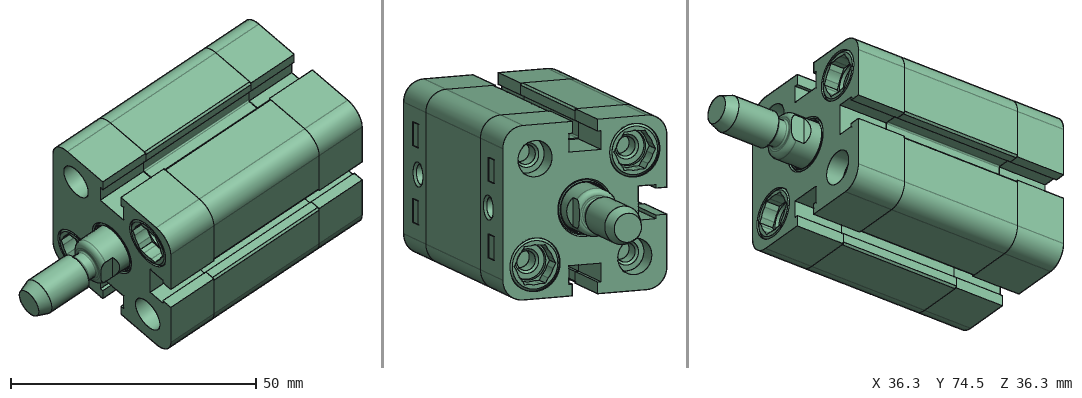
import cadquery as cq
import math


SIDE = 36.3
CORNER_RADIUS = 4.5
CAP_LENGTH = 11.7
TUBE_LENGTH = 28.65
TUBE_START = CAP_LENGTH
TUBE_END = TUBE_START + TUBE_LENGTH
HOUSING_LENGTH = TUBE_END + CAP_LENGTH

SLOT_MOUTH = 5.6
SLOT_WIDTH = 7.1
SLOT_LIP = 2.45
CAP_SLOT_DEPTH = 6.35
TUBE_SLOT_DEPTH = 6.1
TUBE_SLOT_FLOOR_FILLET = 0.3
TUBE_MOUTH_CHAMFER = 0.45
SLOT_ANGLES = (0, 90, -90)

ROD_DIAMETER = 10.0
THREAD_DIAMETER = 8.0
NECK_DIAMETER = 5.8
TIP_DIAMETER = 6.05
ROD_OVERHANG = 22.5
SHOULDER_Y = -6.6
SHOULDER_FILLET = 1.3
NECK_FILLET = 0.4
THREAD_START_Y = -9.7
NECK_CONE_ANGLE = 60
THREAD_END_Y = -19.85
FLATS_WIDTH = THREAD_DIAMETER
FLATS_START_Y = -3.3

CHAMBER_DIAMETER = 10.45
LIP_DIAMETER = 10.9
LIP_SETBACK = 0.1
GROOVE_BOTTOM_DIAMETER = 11.4
GROOVE_MOUTH_DIAMETER = 12.0
REAR_CHAMBER_DEPTH = 5.8

THREAD_HOLE_DIAMETER = 4.1
THREAD_MOUTH_DIAMETER = 5.15
THREAD_HOLE_DEPTH = 3.7

PORT_OFFSET = 7.6
PORT_OPENING = 2.9
LABEL_OFFSET = 6.2
LABEL_LENGTH = 3.0
LABEL_HEIGHT = 4.9
LABEL_CENTRE_Z = 8.0
LABEL_DEPTH = 0.2

BOLT_OFFSET = 11.05
BOLT_HOLE_DIAMETER = 7.5
HEAD_DIAMETER = 11.1
HEAD_CHAMFER = 0.5
SOCKET_SIDES = 6
SOCKET_FLATS = 8.0
SOCKET_BORE = 8.3
SOCKET_DEPTH = 3.3
HEAD_CORNERS = ((BOLT_OFFSET, BOLT_OFFSET), (-BOLT_OFFSET, -BOLT_OFFSET))
BOLT_HOLE_DEPTH = 4.2
MOUNT_CORNERS = ((-BOLT_OFFSET, BOLT_OFFSET), (BOLT_OFFSET, -BOLT_OFFSET))


def front_plane(x, y, z):
    """Sketch plane facing -Y, with its local axes along X and Z."""
    return cq.Workplane(cq.Plane(origin=(x, y, z), xDir=(1, 0, 0), normal=(0, -1, 0)))


def bore(x, z, diameter, start, end):
    """Cylinder along Y between two Y positions."""
    return front_plane(x, start, z).circle(diameter / 2).extrude(start - end)


def revolved(points):
    """Solid turned about the Y axis from (radius, y) points."""
    return cq.Workplane("XY").polyline(points).close().revolve(360, (0, 0, 0), (0, 1, 0))


def thread_hole(origin, direction, depth):
    """Blind hole with a 45 degree mouth, going from its origin along the direction."""
    radius = THREAD_HOLE_DIAMETER / 2
    mouth = THREAD_MOUTH_DIAMETER / 2
    start = cq.Vector(*origin)
    axis = cq.Vector(*direction)
    hole = cq.Solid.makeCylinder(radius, depth, start, axis)
    cone = cq.Solid.makeCone(mouth, radius, mouth - radius, start, axis)
    return cq.Workplane(hole).union(cq.Workplane(cone))


def slotted_block(start, length, slot):
    """Rounded square block along Y with the sensor slot on three sides."""
    block = front_plane(0, start, 0).rect(SIDE, SIDE).extrude(-length)
    block = block.edges("|Y").fillet(CORNER_RADIUS)
    for angle in SLOT_ANGLES:
        block = block.cut(slot.rotate((0, 0, 0), (0, 1, 0), angle))
    return block


def slot_cutter(start, length, depth):
    """Mouth and wider channel of a T-shaped slot in the +X side, as two blocks."""
    outer = SIDE / 2
    mouth = (
        front_plane(outer - depth / 2, start, 0)
        .rect(depth, SLOT_MOUTH)
        .extrude(-length)
    )
    channel_depth = depth - SLOT_LIP
    channel = (
        front_plane(outer - SLOT_LIP - channel_depth / 2, start, 0)
        .rect(channel_depth, SLOT_WIDTH)
        .extrude(-length)
    )
    return mouth, channel


def cap_slot(start):
    """Plain T-shaped slot of a cap."""
    mouth, channel = slot_cutter(start, CAP_LENGTH, CAP_SLOT_DEPTH)
    return mouth.union(channel)


def tube_slot():
    """Slot of the tube, with rounded floor corners and a chamfered mouth."""
    mouth, channel = slot_cutter(TUBE_START, TUBE_LENGTH, TUBE_SLOT_DEPTH)
    channel = channel.edges("|Y and <X").fillet(TUBE_SLOT_FLOOR_FILLET)
    outer = SIDE / 2
    half_mouth = SLOT_MOUTH / 2
    flare = (
        front_plane(0, TUBE_START, 0)
        .polyline([
            (outer, half_mouth + TUBE_MOUTH_CHAMFER),
            (outer - TUBE_MOUTH_CHAMFER, half_mouth),
            (outer - TUBE_MOUTH_CHAMFER, -half_mouth),
            (outer, -half_mouth - TUBE_MOUTH_CHAMFER),
        ])
        .close()
        .extrude(-TUBE_LENGTH)
    )
    return mouth.union(channel).union(flare)


def side_features(port_y, label_y):
    """Port and the two label recesses to be cut from the -X side of a cap."""
    port_floor = math.sqrt((CHAMBER_DIAMETER / 2) ** 2 - (PORT_OPENING / 2) ** 2)
    cutter = thread_hole((-SIDE / 2, port_y, 0), (1, 0, 0), SIDE / 2 - port_floor)
    for z in (LABEL_CENTRE_Z, -LABEL_CENTRE_Z):
        recess = cq.Workplane("XY").box(2 * LABEL_DEPTH, LABEL_LENGTH, LABEL_HEIGHT)
        cutter = cutter.union(recess.translate((-SIDE / 2, label_y, z)))
    return cutter


def head_groove():
    """V-shaped ring around a bolt head, between its chamfer and the cap."""
    outer = HEAD_DIAMETER / 2
    return revolved([(outer - HEAD_CHAMFER, 0), (outer, 0), (outer, HEAD_CHAMFER)])


def head_socket():
    """Hexagon socket with a round bore that just breaks through its flats."""
    across_corners = SOCKET_FLATS / math.cos(math.pi / SOCKET_SIDES)
    hexagon = front_plane(0, 0, 0).polygon(SOCKET_SIDES, across_corners).extrude(-SOCKET_DEPTH)
    return hexagon.union(bore(0, 0, SOCKET_BORE, 0, SOCKET_DEPTH))


def make_front_cap():
    """Cap with the rod passage, two bolt heads and two mounting holes."""
    cap = slotted_block(0, CAP_LENGTH, cap_slot(0))
    cap = cap.cut(side_features(PORT_OFFSET, LABEL_OFFSET))

    groove_depth = (GROOVE_MOUTH_DIAMETER - GROOVE_BOTTOM_DIAMETER) / 2
    mouth_chamfer = (LIP_DIAMETER - CHAMBER_DIAMETER) / 2
    cap = cap.cut(revolved([
        (0, 0),
        (GROOVE_MOUTH_DIAMETER / 2, 0),
        (GROOVE_BOTTOM_DIAMETER / 2, groove_depth),
        (LIP_DIAMETER / 2, LIP_SETBACK),
        (CHAMBER_DIAMETER / 2, LIP_SETBACK + mouth_chamfer),
        (CHAMBER_DIAMETER / 2, CAP_LENGTH),
        (0, CAP_LENGTH),
    ]))

    for x, z in HEAD_CORNERS:
        cap = cap.cut(head_groove().translate((x, 0, z)))
        cap = cap.cut(head_socket().translate((x, 0, z)))
        cap = cap.cut(bore(x, z, BOLT_HOLE_DIAMETER, 0, BOLT_HOLE_DEPTH))
        cap = cap.cut(thread_hole((x, BOLT_HOLE_DEPTH, z), (0, 1, 0), THREAD_HOLE_DEPTH))
    for x, z in MOUNT_CORNERS:
        cap = cap.cut(bore(x, z, BOLT_HOLE_DIAMETER, 0, BOLT_HOLE_DEPTH))
        cap = cap.cut(thread_hole((x, BOLT_HOLE_DEPTH, z), (0, 1, 0), THREAD_HOLE_DEPTH))
    return cap


def make_tube():
    """Middle profile that guides the rod."""
    tube = slotted_block(TUBE_START, TUBE_LENGTH, tube_slot())
    return tube.cut(bore(0, 0, ROD_DIAMETER, TUBE_START, TUBE_END))


def make_rear_cap():
    """Cap with a blind chamber for the inner end of the rod."""
    cap = slotted_block(TUBE_END, CAP_LENGTH, cap_slot(TUBE_END))
    cap = cap.cut(bore(0, 0, CHAMBER_DIAMETER, TUBE_END, TUBE_END + REAR_CHAMBER_DEPTH))
    return cap.cut(side_features(HOUSING_LENGTH - PORT_OFFSET, HOUSING_LENGTH - LABEL_OFFSET))


def rod_flat():
    """Wrench flat on the +X side, running out at 45 degrees towards the housing."""
    inner = FLATS_WIDTH / 2
    outer = ROD_DIAMETER / 2
    runout = outer - inner
    return (
        cq.Workplane("XY", origin=(0, 0, -outer))
        .polyline([
            (inner, SHOULDER_Y),
            (outer, SHOULDER_Y),
            (outer, FLATS_START_Y + runout),
            (inner, FLATS_START_Y),
        ])
        .close()
        .extrude(2 * outer)
    )


def make_rod():
    """Stepped rod with rounded shoulder, neck, threaded end and two wrench flats."""
    rod_radius = ROD_DIAMETER / 2
    neck_radius = NECK_DIAMETER / 2
    thread_radius = THREAD_DIAMETER / 2
    rod_end = TUBE_END + REAR_CHAMBER_DEPTH
    cone_angle = math.radians(NECK_CONE_ANGLE)
    blend_length = NECK_FILLET * math.tan(cone_angle / 2)
    cone_start_y = THREAD_START_Y + (thread_radius - neck_radius) / math.tan(cone_angle)
    rod = (
        cq.Workplane("XY")
        .moveTo(0, rod_end)
        .lineTo(rod_radius, rod_end)
        .lineTo(rod_radius, SHOULDER_Y + SHOULDER_FILLET)
        .radiusArc((rod_radius - SHOULDER_FILLET, SHOULDER_Y), SHOULDER_FILLET)
        .lineTo(neck_radius + NECK_FILLET, SHOULDER_Y)
        .radiusArc((neck_radius, SHOULDER_Y - NECK_FILLET), -NECK_FILLET)
        .lineTo(neck_radius, cone_start_y + blend_length)
        .tangentArcPoint(
            (neck_radius + blend_length * math.sin(cone_angle),
             cone_start_y - blend_length * math.cos(cone_angle)),
            relative=False,
        )
        .lineTo(thread_radius, THREAD_START_Y)
        .lineTo(thread_radius, THREAD_END_Y)
        .lineTo(TIP_DIAMETER / 2, -ROD_OVERHANG)
        .lineTo(0, -ROD_OVERHANG)
        .close()
        .revolve(360, (0, 0, 0), (0, 1, 0))
    )
    flat = rod_flat()
    return rod.cut(flat).cut(flat.mirror("YZ"))


front_cap = make_front_cap()
tube = make_tube()
rear_cap = make_rear_cap()
rod = make_rod()

result = cq.Compound.makeCompound([front_cap.val(), tube.val(), rear_cap.val(), rod.val()])